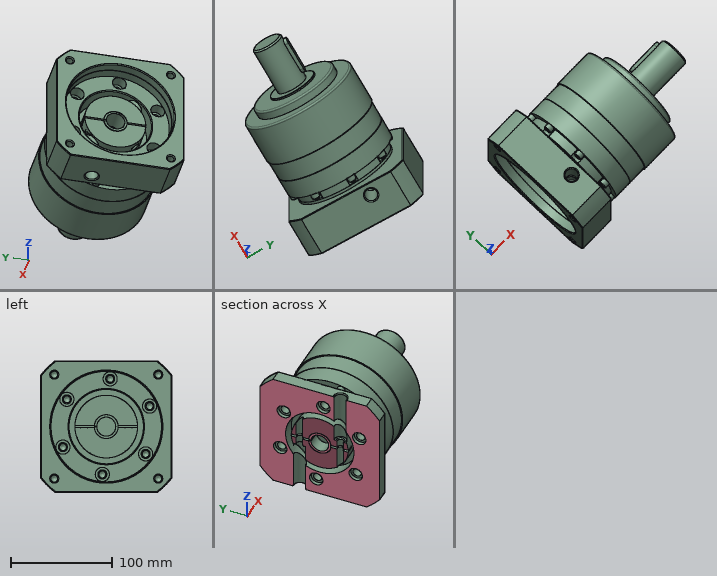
import cadquery as cq
import math


plate_size = 130.0
plate_length = 41.5
plate_corner_radius = 82.5
plate_edge_chamfer = 0.8
recess_outer_radius = 55.0
recess_inner_radius = 54.5
recess_step_depth = 10.0
recess_depth = 20.0
plate_bore_radius = 36.8
mouth_chamfer = 1.0
corner_hole_offset = 51.5
corner_hole_depth = 20.0

tapped_diameter = 6.8
tapped_mouth_diameter = 9.0
drill_tip_height = 2.0

plate_bolt_count = 6
plate_bolt_circle_radius = 47.5
plate_bolt_angle = -4.7
counterbore_diameter = 14.0
counterbore_depth = 12.0
flange_hole_depth = 2.2

clamp_screw_x = 29.5
clamp_screw_y = 22.0
opening_diameter = 13.0
opening_mouth_diameter = 15.2
screw_seat_height = 10.0

collar_end = 44.5
neck_end = 54.0
cover_end = 74.2
ring_gear_end = 94.5
housing_end = 138.2
pilot_end = 147.2
seal_end = 149.0
shaft_end = 200.0
collar_radius = 53.0
neck_radius = 52.8
body_radius = 59.2
housing_radius = 60.2
pilot_radius = 45.0
seal_radius = 25.0
shaft_radius = 16.0
joint_chamfer = 0.5
housing_fillet = 1.8
seal_chamfer = 0.5
shaft_chamfer = 1.5

cover_screw_count = 8
cover_screw_circle_radius = 54.5
cover_screw_angle = 32.5
screw_head_radius = 4.2
screw_head_height = 6.2
screw_head_chamfer = 1.0
screw_pocket_radius = 5.5

key_start = 154.8
key_length = 40.0
key_width = 10.0
key_top = 19.0

hub_face = 20.8
sleeve_face = recess_depth
hub_radius = 31.0
hub_slot_width = 1.8
hub_slot_end = 36.0
sleeve_outer_radius = 11.8
sleeve_bore_radius = 9.5
sleeve_slit_width = 0.8


def cylinder(radius, start, end):
    """Cylinder on the X axis between two positions."""
    return cq.Workplane("YZ").workplane(offset=start).circle(radius).extrude(end - start)


def cone(start_radius, end_radius, start, end):
    """Solid cone or frustum on the X axis between two positions."""
    profile = [(start, 0), (start, start_radius), (end, end_radius)]
    if end_radius > 0:
        profile.append((end, 0))
    return cq.Workplane("XY").polyline(profile).close().revolve(360, (0, 0, 0), (1, 0, 0))


def tapped_hole(start, depth):
    """Cutter for a blind hole along +X with a chamfered mouth and a drill tip."""
    radius = tapped_diameter / 2
    mouth_radius = tapped_mouth_diameter / 2
    drill_end = start + depth
    hole = cylinder(radius, start, drill_end)
    hole = hole.union(cone(mouth_radius, radius, start, start + mouth_radius - radius))
    return hole.union(cone(radius, 0, drill_end, drill_end + drill_tip_height))


def around_axis(shape, count, radius, first_angle):
    """Copies of a shape on a circle about X; angles run from +Z towards +Y."""
    copies = cq.Workplane("YZ")
    for index in range(count):
        angle = math.radians(first_angle + index * 360 / count)
        copies = copies.add(shape.translate((0, radius * math.sin(angle), radius * math.cos(angle))))
    return copies.combine()


def bored_from_above(diameter, mouth_diameter, bottom, top):
    """Cutter along Z at the upper clamp screw, with a 45-degree chamfer at its top."""
    chamfer = (mouth_diameter - diameter) / 2
    profile = [
        (0, bottom),
        (diameter / 2, bottom),
        (diameter / 2, top - chamfer),
        (mouth_diameter / 2, top),
        (0, top),
    ]
    cutter = cq.Workplane("XZ").polyline(profile).close().revolve(360, (0, 0, 0), (0, 1, 0))
    return cutter.translate((clamp_screw_x, -clamp_screw_y, 0))


def cut_at_both_screws(body, cutter):
    """Cut at the upper clamp screw and at the lower one, half a turn round the axis."""
    return body.cut(cutter).cut(cutter.rotate((0, 0, 0), (1, 0, 0), 180))


def make_plate():
    """Square motor plate with rounded-off corners, pilot recess and bolt holes."""
    plate = cq.Workplane("YZ").rect(plate_size, plate_size).extrude(plate_length)
    plate = plate.intersect(cylinder(plate_corner_radius, 0, plate_length))
    plate = plate.faces("<X or >X").chamfer(plate_edge_chamfer)

    plate = plate.cut(cylinder(recess_outer_radius, 0, recess_step_depth))
    plate = plate.cut(cylinder(recess_inner_radius, 0, recess_depth))
    plate = plate.cut(cylinder(plate_bore_radius, 0, plate_length))
    for radius, start in [(recess_outer_radius, 0), (plate_bore_radius, recess_depth)]:
        plate = plate.cut(cone(radius + mouth_chamfer, radius, start, start + mouth_chamfer))

    for y in (-corner_hole_offset, corner_hole_offset):
        for z in (-corner_hole_offset, corner_hole_offset):
            plate = plate.cut(tapped_hole(0, corner_hole_depth).translate((0, y, z)))

    bolt_hole = cylinder(counterbore_diameter / 2, recess_depth, recess_depth + counterbore_depth)
    bolt_hole = bolt_hole.union(cylinder(tapped_mouth_diameter / 2, recess_depth, plate_length))
    plate = plate.cut(around_axis(bolt_hole, plate_bolt_count, plate_bolt_circle_radius, plate_bolt_angle))

    opening = bored_from_above(opening_diameter, opening_mouth_diameter, 0, plate_size / 2)
    return cut_at_both_screws(plate, opening)


def make_gearhead():
    """Gearhead from the neck to the output shaft, with its cover screws and key."""
    neck = cylinder(collar_radius, plate_length, collar_end)
    neck = neck.union(cylinder(neck_radius, collar_end, neck_end))
    pocket = cylinder(screw_pocket_radius, collar_end, neck_end)
    neck = neck.cut(around_axis(pocket, cover_screw_count, cover_screw_circle_radius, cover_screw_angle))

    cover = cylinder(body_radius, neck_end, cover_end).faces(">X").edges().chamfer(joint_chamfer)
    ring_gear = cylinder(body_radius, cover_end, ring_gear_end).faces(">X").edges().chamfer(joint_chamfer)
    housing = cylinder(housing_radius, ring_gear_end, housing_end).faces(">X").edges().fillet(housing_fillet)
    pilot = cylinder(pilot_radius, housing_end, pilot_end).faces(">X").edges().fillet(housing_fillet)
    seal = cylinder(seal_radius, pilot_end, seal_end).faces(">X").edges().chamfer(seal_chamfer)
    shaft = cylinder(shaft_radius, seal_end, shaft_end).faces(">X").edges().chamfer(shaft_chamfer)
    gearhead = neck
    for step in (cover, ring_gear, housing, pilot, seal, shaft):
        gearhead = gearhead.union(step)

    head = cylinder(screw_head_radius, neck_end - screw_head_height, neck_end)
    head = head.faces("<X").edges().chamfer(screw_head_chamfer)
    gearhead = gearhead.union(
        around_axis(head, cover_screw_count, cover_screw_circle_radius, cover_screw_angle)
    )

    bolt_hole = tapped_hole(plate_length, flange_hole_depth)
    gearhead = gearhead.cut(
        around_axis(bolt_hole, plate_bolt_count, plate_bolt_circle_radius, plate_bolt_angle)
    )

    key = cq.Workplane("XZ").center(key_start + key_length / 2, 0).slot2D(key_length, key_width)
    return gearhead.union(key.extrude(-key_top))


def make_hub():
    """Clamp hub, split across by a slot and drilled for its two clamp screws."""
    hub = cylinder(hub_radius, hub_face, plate_length)
    hub = hub.cut(cylinder(sleeve_outer_radius, hub_face, plate_length))
    slot_length = hub_slot_end - hub_face
    slot = cq.Workplane("XY").box(slot_length, 2 * hub_radius, hub_slot_width)
    hub = hub.cut(slot.translate((hub_face + slot_length / 2, 0, 0)))

    seat = cq.Workplane("XY").workplane(offset=screw_seat_height).center(clamp_screw_x, -clamp_screw_y)
    seat = seat.circle(opening_diameter / 2).extrude(hub_radius)
    screw_hole = bored_from_above(tapped_diameter, tapped_mouth_diameter, -hub_radius, screw_seat_height)
    return cut_at_both_screws(hub, seat.union(screw_hole))


def make_sleeve():
    """Reducing sleeve in the hub, slit along its +Y side."""
    sleeve = cylinder(sleeve_outer_radius, sleeve_face, plate_length)
    sleeve = sleeve.cut(cylinder(sleeve_bore_radius, sleeve_face, plate_length))
    slit = cq.Workplane("XY").box(
        plate_length, sleeve_outer_radius, sleeve_slit_width, centered=(False, False, True)
    )
    return sleeve.cut(slit.translate((sleeve_face, 0, 0)))


plate = make_plate()
gearhead = make_gearhead()
hub = make_hub()
sleeve = make_sleeve()

result = cq.Compound.makeCompound([plate.val(), gearhead.val(), hub.val(), sleeve.val()])